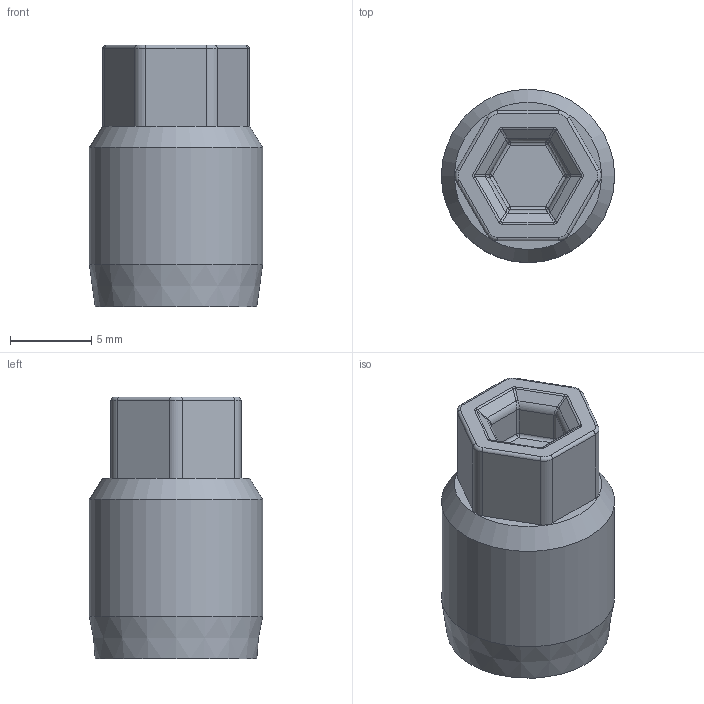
import cadquery as cq
import math

housing_dia = 10.66
housing_height = 11.11
shoulder_dia = 9.06
shoulder_height = 1.3
foot_dia = 9.94
foot_height = 2.62

head_across_flats = 8.0
head_height = 5.0
head_corner_radius = 0.8
head_rim_radius = 0.2

socket_across_flats = 4.18
socket_depth = 3.0
mouth_across_flats = 5.81
mouth_slope = math.radians(42)
mouth_depth = (mouth_across_flats - socket_across_flats) / 2 * math.tan(mouth_slope)
mouth_rim_radius = 0.2
socket_corner_radius = 0.2
socket_bend_radius = 0.67

head_top = housing_height + head_height
socket_floor = head_top - socket_depth
socket_bend = head_top - mouth_depth
selection_margin = 0.01


def across_corners(across_flats):
    return across_flats / math.cos(math.pi / 6)


def socket_mouth_edges(head):
    """Edges in the head's top face that lie within the mouth of the socket."""
    reach = across_corners(mouth_across_flats) / 2 + selection_margin
    box = cq.selectors.BoxSelector(
        (-reach, -reach, head_top - selection_margin),
        (reach, reach, head_top + selection_margin),
        boundingbox=True,
    )
    return head.edges(box)


def make_housing():
    """Turned body with a tapered foot and a sloping shoulder."""
    profile = [
        (0, 0),
        (foot_dia / 2, 0),
        (housing_dia / 2, foot_height),
        (housing_dia / 2, housing_height - shoulder_height),
        (shoulder_dia / 2, housing_height),
        (0, housing_height),
    ]
    return cq.Workplane("XZ").polyline(profile).close().revolve(360, (0, 0, 0), (0, 1, 0))


def make_socket_bar():
    """Straight bar along X whose two long sides are one opposite pair of socket walls."""
    half_wall = socket_across_flats / 2
    half_mouth = mouth_across_flats / 2
    profile = [
        (-half_wall, socket_floor),
        (half_wall, socket_floor),
        (half_wall, socket_bend),
        (half_mouth, head_top),
        (-half_mouth, head_top),
        (-half_wall, socket_bend),
    ]
    bar = cq.Workplane("YZ").polyline(profile).close().extrude(head_across_flats, both=True)
    bends = bar.edges("|X and >>Z[-3]")
    return bends.fillet(socket_bend_radius)


def make_socket():
    """Space inside the socket: three crossed bars, with rounded corners and floor edges."""
    socket = make_socket_bar()
    for turn in (60, 120):
        socket = socket.intersect(make_socket_bar().rotate((0, 0, 0), (0, 0, 1), turn))
    return socket.edges("(not #Z) or <Z").fillet(socket_corner_radius)


def make_head():
    """Hexagonal head with rounded corners and rim, and the socket cut into its top."""
    base = cq.Workplane("XY", origin=(0, 0, housing_height))
    head = base.polygon(6, across_corners(head_across_flats)).extrude(head_height)
    head = head.edges("|Z").fillet(head_corner_radius)
    head = head.faces(">Z").edges().fillet(head_rim_radius)
    head = head.cut(make_socket())
    return socket_mouth_edges(head).fillet(mouth_rim_radius)


housing = make_housing()
head = make_head()
result = cq.Compound.makeCompound([housing.val(), head.val()])